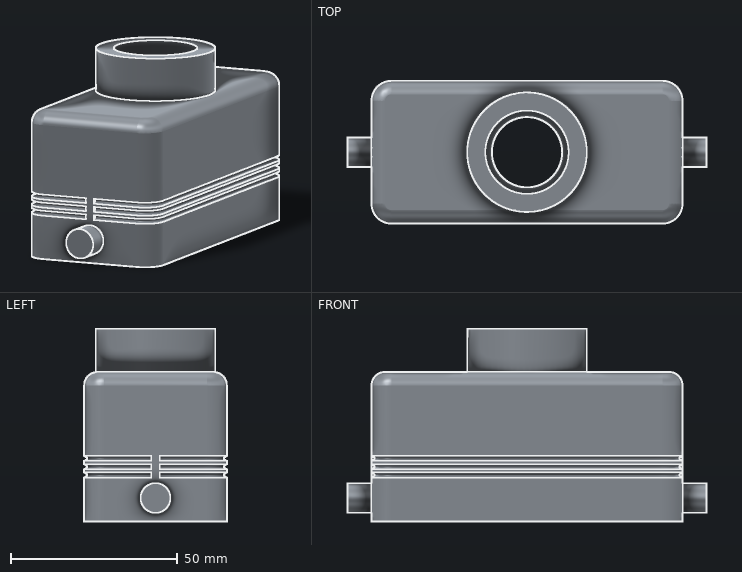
import cadquery as cq
import math

overall_length = 108.0
body_length = 93.5
body_width = 43.0
body_height = 45.0
corner_radius = 6.0
top_edge_radius = 4.1

overall_height = 58.0
collar_diameter = 36.0
collar_bore_diameter = 25.1
cable_hole_diameter = 21.1
collar_height = overall_height - body_height

pin_diameter = 9.0
pin_height = 7.1

groove_count = 3
groove_pitch = 2.5
lowest_groove_height = 14.0
groove_width = 1.5
groove_depth = 1.0
groove_flank_angle = math.radians(30)
bridge_width = 2.6


def rounded_block(length, width, height, radius):
    """Block standing on the XY plane with rounded vertical edges."""
    block = cq.Workplane("XY").box(length, width, height, centered=(True, True, False))
    return block.edges("|Z").fillet(radius)


def make_body():
    block = rounded_block(body_length, body_width, body_height, corner_radius)
    return block.faces(">Z").edges().fillet(top_edge_radius)


def make_groove(height):
    """V-shaped ring cutter with a rounded root, leaving a bridge on each end face."""
    body_outline = rounded_block(body_length, body_width, height, corner_radius).faces(">Z").wires()
    apex_depth = groove_width / 2 / math.tan(groove_flank_angle)
    root_radius = (apex_depth - groove_depth) / (1 / math.sin(groove_flank_angle) - 1)
    root_half_width = root_radius * math.cos(groove_flank_angle)
    flank_depth = apex_depth - root_half_width / math.tan(groove_flank_angle)
    profile = (
        cq.Workplane("YZ")
        .center(-body_width / 2, height)
        .moveTo(-groove_depth, -groove_width / 2)
        .lineTo(0, -groove_width / 2)
        .lineTo(flank_depth, -root_half_width)
        .threePointArc((groove_depth, 0), (flank_depth, root_half_width))
        .lineTo(0, groove_width / 2)
        .lineTo(-groove_depth, groove_width / 2)
        .close()
    )
    ring = profile.sweep(body_outline)
    bridge = cq.Workplane("XY").box(overall_length, bridge_width, overall_height)
    return ring.cut(bridge)


def make_pins():
    """One round bar through both end faces; its ends stand out as the pins."""
    bar = cq.Workplane("YZ").center(0, pin_height).circle(pin_diameter / 2)
    return bar.extrude(overall_length / 2, both=True)


def make_collar():
    collar = cq.Workplane("XY").workplane(offset=body_height).circle(collar_diameter / 2)
    return collar.extrude(collar_height)


def make_cable_passage():
    """Wide bore through the collar and a narrower hole through the body."""
    hole = cq.Workplane("XY").circle(cable_hole_diameter / 2).extrude(overall_height)
    bore = cq.Workplane("XY").workplane(offset=body_height).circle(collar_bore_diameter / 2)
    return hole.union(bore.extrude(collar_height))


body = make_body()
for index in range(groove_count):
    body = body.cut(make_groove(lowest_groove_height + index * groove_pitch))
result = body.union(make_pins()).union(make_collar()).cut(make_cable_passage())